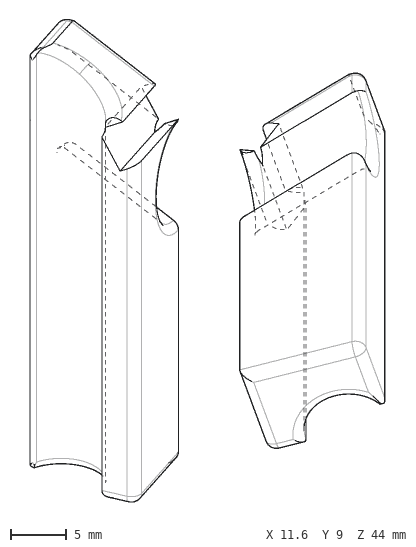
import cadquery as cq
import math

width = 11.55
depth = 9.0
height = 43.95
edge_radius = 1.0

channel_radius = 4.0
channel_x = 4.1
wall_end_radius = 0.375

tilt = 30.0
slope_start_x = 1.5

notch_width = 4.0
notch_corner_x = 9.9
notch_corner_z = 34.75
lip_front_y = 1.1

hole_radius = 4.05
hole_z = 36.1

reach = 65.9

tilt_sin = math.sin(math.radians(tilt))
tilt_cos = math.cos(math.radians(tilt))
wall_end_x = wall_end_radius
wall_end_y = math.sqrt((channel_radius + wall_end_radius)**2 - (channel_x - wall_end_x)**2)
wall_front_y = wall_end_y - wall_end_radius

slope_end_z = height - (width - slope_start_x) * tilt_sin / tilt_cos


def make_bar():
    """Solid bar with a sloped top."""
    return (
        cq.Workplane("XZ", origin=(0, depth, 0))
        .lineTo(width, 0)
        .lineTo(width, slope_end_z)
        .lineTo(slope_start_x, height)
        .lineTo(0, height)
        .close()
        .extrude(depth)
    )


def round_bar(bar):
    """Round the bottom edges, the left and back edges of the top, and two upright corners."""
    edge_midpoints = [
        (0, depth / 2, height),
        (0, depth, height / 2),
        (slope_start_x / 2, depth, height),
        ((slope_start_x + width) / 2, depth, (height + slope_end_z) / 2),
        (width / 2, depth, 0),
        (0, depth / 2, 0),
        (width, depth / 2, 0),
        (width / 2, 0, 0),
        (width, 0, slope_end_z / 2),
    ]
    edges = [bar.edges(cq.NearestToPointSelector(point)).val() for point in edge_midpoints]
    return bar.newObject([bar.val().fillet(edge_radius, edges)])


def make_wall_relief():
    """Cutter that leaves a round end on the thin wall, its top and bottom corners rounded too."""
    channel_share = channel_radius / (channel_radius + wall_end_radius)
    tangent_x = channel_x + (wall_end_x - channel_x) * channel_share
    tangent_y = wall_end_y * channel_share
    relief = (
        cq.Workplane("XY")
        .lineTo(0, wall_end_y)
        .threePointArc((wall_end_x, wall_front_y), (tangent_x, tangent_y))
        .lineTo(tangent_x, 0)
        .close()
        .extrude(height)
    )
    rounded_wall = (
        cq.Workplane("XY", origin=(0, wall_front_y, 0))
        .box(channel_x, depth, height, centered=False)
        .edges("|X and <Y")
        .fillet(edge_radius)
    )
    corners = cq.Workplane("XY").box(channel_x, depth / 2, height, centered=False).cut(rounded_wall)
    return relief.union(corners)


def make_bore(radius, origin, direction):
    """Long cylinder centred on a point of its axis."""
    axis = cq.Plane(origin=origin, xDir=(0, 1, 0), normal=direction)
    return cq.Workplane(axis).circle(radius).extrude(2 * reach, both=True)


def make_bored_slab(bore, origin, outward):
    """Large slab behind a plane, pierced by a bore whose rim in that plane is rounded."""
    plane = cq.Plane(origin=origin, xDir=(0, 1, 0), normal=outward)
    slab = cq.Workplane(plane).rect(2 * reach, 2 * reach).extrude(-reach).cut(bore)
    outer_face = cq.selectors.DirectionMinMaxSelector(cq.Vector(*outward))
    return slab.faces(outer_face).edges("not %LINE").fillet(edge_radius)


def make_notch():
    """Notch cutter, with the front end of the lip above it also removed."""
    notch_plane = cq.Plane(
        origin=(notch_corner_x, depth, notch_corner_z),
        xDir=(tilt_cos, 0, tilt_sin),
        normal=(0, -1, 0),
    )
    notch = cq.Workplane(notch_plane).rect(reach, notch_width, centered=False).extrude(depth)
    lip_end = (
        cq.Workplane(notch_plane)
        .workplane(offset=depth - lip_front_y)
        .rect(reach, reach, centered=False)
        .extrude(lip_front_y)
    )
    return notch.union(lip_end)


channel = make_bore(channel_radius, (channel_x, 0, 0), (0, 0, 1))
cross_hole = make_bore(hole_radius, (0, depth, hole_z), (tilt_cos, 0, -tilt_sin))

result = round_bar(make_bar()).cut(make_wall_relief())

result = result.intersect(make_bored_slab(channel, (0, 0, 0), (0, 0, -1)))
result = result.intersect(
    make_bored_slab(channel, (slope_start_x, 0, height), (tilt_sin, 0, tilt_cos))
)

result = result.intersect(make_bored_slab(cross_hole, (0, 0, 0), (-1, 0, 0)))
result = result.intersect(make_bored_slab(cross_hole, (width, 0, 0), (1, 0, 0)))

result = result.cut(make_notch())